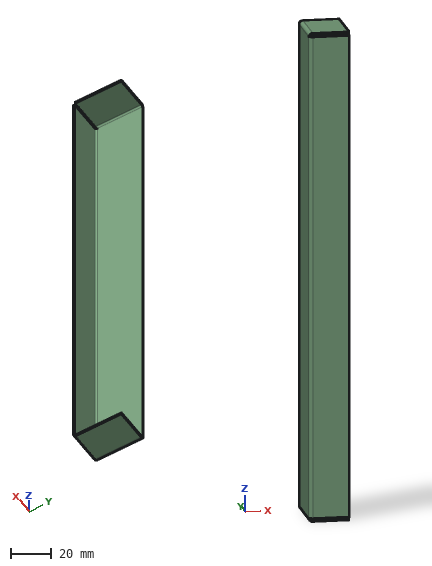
import cadquery as cq

depth = 20.0
width = 28.3
height = 248.0

thickness = 1.0
bend_radius = 1.88
corner_setback = thickness

x_panel = -depth / 2
x_free = depth / 2
y_side = -width / 2
y_open = width / 2
z_top = height / 2
z_bottom = -height / 2


def box(x_min, x_max, y_min, y_max, z_min, z_max):
    """Box between the given limits."""
    size = (x_max - x_min, y_max - y_min, z_max - z_min)
    return cq.Workplane("XY").box(*size, centered=False).translate((x_min, y_min, z_min))


def end_folded_channel():
    """Main panel with the top and bottom flanges folded toward +X."""
    y_min = y_side + corner_setback
    outer = box(x_panel, x_free, y_min, y_open, z_bottom, z_top)
    outer = outer.edges("|Y and <X").fillet(bend_radius)
    inner = box(x_panel + thickness, x_free, y_min, y_open, z_bottom + thickness, z_top - thickness)
    inner = inner.edges("|Y and <X").fillet(bend_radius - thickness)
    channel = outer.cut(inner)
    side_fold_zone = box(
        x_panel, x_free, y_side, y_side + bend_radius, z_bottom + bend_radius, z_top - bend_radius
    )
    return channel.cut(side_fold_zone)


def side_flange():
    """Side flange and its fold, ending just short of the end flanges."""
    z_min = z_bottom + bend_radius
    z_max = z_top - bend_radius
    y_max = y_side + 2 * bend_radius
    outer = box(x_panel, x_free, y_side, y_max, z_min, z_max)
    outer = outer.edges("|Z and <X and <Y").fillet(bend_radius)
    inner = box(x_panel + thickness, x_free, y_side + thickness, y_max, z_min, z_max)
    inner = inner.edges("|Z and <X and <Y").fillet(bend_radius - thickness)
    return outer.cut(inner)


result = end_folded_channel().union(side_flange())